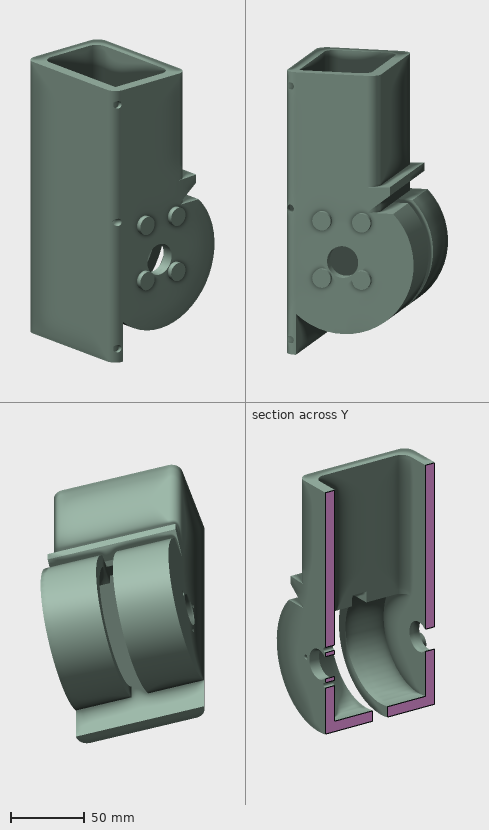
import cadquery as cq
import math

width = 91.0
depth = 66.0
height = 196.0
wall = 8.0
corner_radius = 7.6

drum_radius = 50.0
drum_y = 41.0
drum_z = 66.0
ledge_z = 101.1
slot_width = 12.0

lip_tip_y = 74.3
lip_tip_top_z = 119.5
lip_root_top_z = 118.8
lip_tip_bottom_z = 113.7

bore_diameter = 22.0
screw_diameter = 3.5
screw_circle_radius = 15.0
screw_count = 3

foot_diameter = 13.0
foot_height = 3.5
foot_spacing_y = 28.0
foot_spacing_z = 39.8
foot_center_z = 74.5

socket_diameter = 5.3
socket_y = 4.0
socket_end_offset = 10.0
end_socket_depth = 3.0
middle_socket_depth = wall

inner_back_y = depth - wall


def box(x0, x1, y0, y1, z0, z1):
    return cq.Workplane("XY").box(x1 - x0, y1 - y0, z1 - z0, centered=False).translate((x0, y0, z0))


def cylinder_x(diameter, x0, x1, y, z):
    disc = cq.Workplane("YZ", origin=(x0, y, z)).circle(diameter / 2)
    return disc.extrude(x1 - x0)


def make_outside():
    column = box(0, width, 0, depth, 0, height).edges("|Z").fillet(corner_radius)
    front_plate = column.intersect(box(0, width, 0, wall, 0, height))
    tube = column.intersect(box(0, width, 0, depth, ledge_z, height))
    drum = cylinder_x(2 * drum_radius, 0, width, drum_y, drum_z)
    drum = drum.intersect(box(0, width, corner_radius, drum_y + drum_radius, 0, ledge_z))
    neck = box(0, width, corner_radius, depth, drum_z, ledge_z)
    return front_plate.union(tube).union(drum).union(neck)


def make_lip():
    profile = [
        (inner_back_y, ledge_z),
        (lip_tip_y, lip_tip_bottom_z),
        (lip_tip_y, lip_tip_top_z),
        (inner_back_y, lip_root_top_z),
    ]
    return cq.Workplane("YZ").polyline(profile).close().extrude(width)


def make_cavity():
    tube_bore = box(wall, width - wall, wall, inner_back_y, drum_z, height)
    tube_bore = tube_bore.edges("|Z and (<X or >Y)").fillet(corner_radius)
    drum_bore = cylinder_x(2 * (drum_radius - wall), wall, width - wall, drum_y, drum_z)
    drum_room = box(wall, width - wall, wall, drum_y + drum_radius, 0, ledge_z - wall)
    return tube_bore.union(drum_bore.intersect(drum_room))


def make_slot():
    slot_x = (width - slot_width) / 2
    return box(slot_x, slot_x + slot_width, wall, drum_y + drum_radius, 0, ledge_z)


def make_shaft_holes():
    holes = cylinder_x(bore_diameter, 0, width, drum_y, drum_z)
    for i in range(screw_count):
        angle = 2 * math.pi * i / screw_count
        y = drum_y + screw_circle_radius * math.cos(angle)
        z = drum_z + screw_circle_radius * math.sin(angle)
        holes = holes.union(cylinder_x(screw_diameter, 0, wall, y, z))
    return holes


def make_sockets():
    sockets = cylinder_x(socket_diameter, width - middle_socket_depth, width, socket_y, ledge_z)
    for z in (socket_end_offset, height - socket_end_offset):
        socket = cylinder_x(socket_diameter, width - end_socket_depth, width, socket_y, z)
        sockets = sockets.union(socket)
    return sockets


result = make_outside().union(make_lip())
result = result.cut(make_cavity()).cut(make_slot())
result = result.cut(make_shaft_holes()).cut(make_sockets())

for side_y in (-1, 1):
    for side_z in (-1, 1):
        foot_y = drum_y + side_y * foot_spacing_y / 2
        foot_z = foot_center_z + side_z * foot_spacing_z / 2
        foot = cylinder_x(foot_diameter, width, width + foot_height, foot_y, foot_z)
        result = result.union(foot)